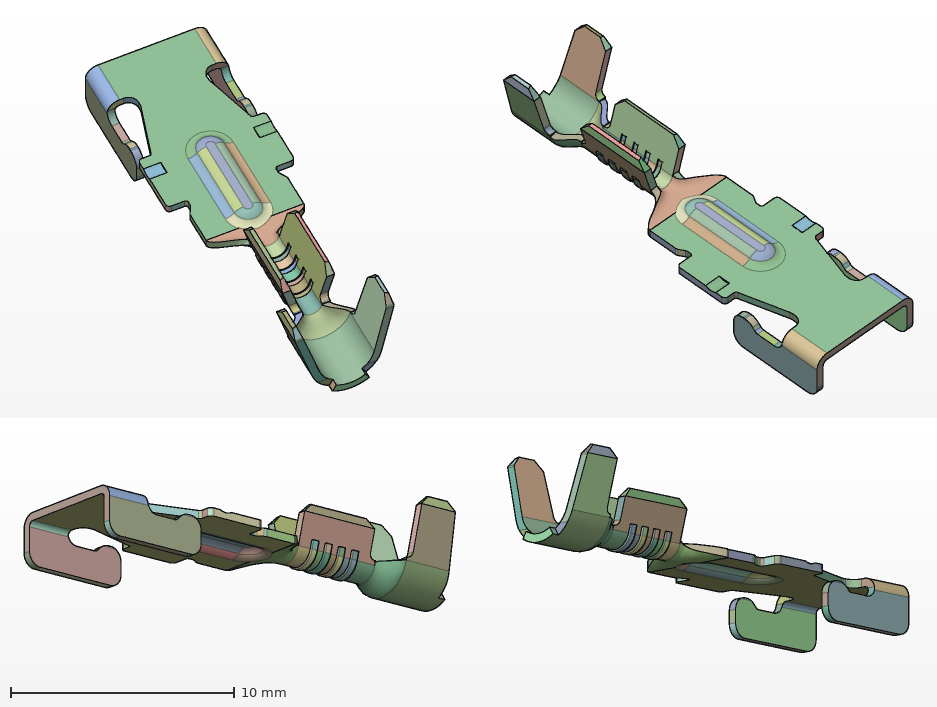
import cadquery as cq
import math


SHEET = 0.39
TOTAL_LENGTH = 21.08

CHANNEL_WIDTH = 6.07
CHANNEL_LENGTH = 2.23
LEG_LENGTH = 5.29
LEG_BOTTOM = -2.41
LEG_CORNER = 0.62
FOLD_RADIUS = 0.63
SLOT_FLOOR = -0.97
SLOT_REAR = 3.87
SLOT_CORNER = 0.5
HOOK_TOP = -0.56
HOOK_CROWN = 0.7
HOOK_FOOT = 0.25

PLATE_END = 11.2
PLATE_HALF_WIDTH = 2.43
WAIST_HALF_WIDTH = 1.7
WAIST_END = 2.95
WAIST_ROUNDING = 0.6
SHOULDER_FRONT = 5.7
SHOULDER_REAR = 8.74
SHOULDER_HALF_WIDTH = 6.35 / 2
SHOULDER_CORNER = 0.2
SHOULDER_ROOT_ROUNDING = 0.15
TAPER_HALF_WIDTH = 2.5
NECK_HALF_WIDTH = 2.19
NECK_END = 9.1
NECK_ROUNDING = 0.12
NECK_RAMP_END = 9.5
NECK_RAMP_ROUNDING = 0.25

COIN_CENTER = 6.6
COIN_WIDTH = 0.65
COIN_DEPTH = 0.08
COIN_INNER = 2.31

BEAD_FRONT = 6.63
BEAD_REAR = 10.46
BEAD_HEIGHT = 0.38
BEAD_FLAT_HALF = 0.22
BEAD_HALF_WIDTH = 1.12

ARM_TILT = math.radians(16)
TIP_BEVEL = 0.19
TIP_INSET = 0.48

WIRE_FRONT = 12.68
WIRE_REAR = 16.73
WIRE_RADIUS = 0.89
WIRE_BOTTOM = -SHEET
WIRE_TOP = 2.26
WIRE_STUB = 0.35
WIRE_STUB_TOP = 0.46
WIRE_TIP_LENGTH = 0.38

GRIP_FRONT = 18.5
GRIP_REAR = 20.72
GRIP_RADIUS = 1.8
GRIP_BOTTOM = -0.79
GRIP_TOP = 3.56
GRIP_STUB = 0.3
GRIP_STUB_TOP = 0.66
GRIP_TIP_LENGTH = 0.41
GRIP_TOP_REAR = 20.44
GRIP_SHOULDER_ROUNDING = 0.15
STUB_FILLET = 0.28

TAIL_HALF_WIDTH = 0.92
TAIL_OVERLAP = 1.0

SERRATION_COUNT = 4
SERRATION_PITCH = 0.764
SERRATION_FIRST = 13.56
SERRATION_DEPTH = 0.07
GROOVE_WIDTH = 0.27
RIDGE_WIDTH = 0.4
RIDGE_ROUNDING = 0.06
SERRATION_TOP = 0.7

FLARE_STEPS = 8
FLARE_START_RISE = 0.01
FRONT_FLARE_WIDTH_SHARE = 0.88
FRONT_FLARE_RISE_POWER = 1.5
WIRE_WRAP = math.radians(84)
GRIP_WRAP = math.radians(75)


def rounded_outline(plane, corners):
    """Closed outline through (u, v, radius) corners, each rounded by its radius."""
    stretches = []
    for i, (u, v, radius) in enumerate(corners):
        if radius == 0:
            stretches.append([(u, v)])
            continue
        corner = cq.Vector(u, v)
        to_last = (cq.Vector(*corners[i - 1][:2]) - corner).normalized()
        to_next = (cq.Vector(*corners[(i + 1) % len(corners)][:2]) - corner).normalized()
        half_angle = to_last.getAngle(to_next) / 2
        setback = radius / math.tan(half_angle)
        middle_reach = radius / math.sin(half_angle) - radius
        start = corner + to_last * setback
        middle = corner + (to_last + to_next).normalized() * middle_reach
        end = corner + to_next * setback
        stretches.append([(p.x, p.y) for p in (start, middle, end)])
    outline = cq.Workplane(plane).moveTo(*stretches[0][-1])
    for stretch in stretches[1:] + stretches[:1]:
        outline = outline.lineTo(*stretch[0])
        if len(stretch) > 1:
            outline = outline.threePointArc(*stretch[1:])
    return outline.close()


def side_prism(corners):
    """Prism across the full width of the part from an outline in X and Z."""
    return rounded_outline("XZ", corners).extrude(SHOULDER_HALF_WIDTH, both=True)


def make_channel():
    half = CHANNEL_WIDTH / 2
    depth = -LEG_BOTTOM
    outer = cq.Workplane("YZ").rect(2 * half, 2 * depth).extrude(LEG_LENGTH)
    outer = outer.edges("|X").fillet(FOLD_RADIUS)
    inner_half = half - SHEET
    inner = cq.Workplane("YZ").rect(2 * inner_half, 2 * depth).extrude(LEG_LENGTH)
    inner = inner.edges("|X").fillet(FOLD_RADIUS - SHEET)
    outer = outer.translate((0, 0, -depth))
    inner = inner.translate((0, 0, -depth - SHEET))
    hook_rise = HOOK_TOP - SLOT_FLOOR
    side = side_prism([
        (0, 0, 0),
        (CHANNEL_LENGTH, 0, 0),
        (CHANNEL_LENGTH, SLOT_FLOOR, SLOT_CORNER),
        (SLOT_REAR, SLOT_FLOOR, HOOK_FOOT),
        (SLOT_REAR + hook_rise, HOOK_TOP, HOOK_CROWN),
        (LEG_LENGTH, HOOK_TOP, LEG_CORNER),
        (LEG_LENGTH, LEG_BOTTOM, LEG_CORNER),
        (0, LEG_BOTTOM, LEG_CORNER),
    ])
    return outer.cut(inner).intersect(side)


def make_plate():
    root = CHANNEL_LENGTH / 2
    root_half = CHANNEL_WIDTH / 2 - FOLD_RADIUS
    half = [
        (root, root_half, 0),
        (CHANNEL_LENGTH, root_half, 0),
        (CHANNEL_LENGTH, WAIST_HALF_WIDTH, SLOT_CORNER),
        (WAIST_END, WAIST_HALF_WIDTH, WAIST_ROUNDING),
        (SHOULDER_FRONT, TAPER_HALF_WIDTH, SHOULDER_ROOT_ROUNDING),
        (SHOULDER_FRONT, SHOULDER_HALF_WIDTH, SHOULDER_CORNER),
        (SHOULDER_REAR, SHOULDER_HALF_WIDTH, SHOULDER_CORNER),
        (SHOULDER_REAR, NECK_HALF_WIDTH, NECK_ROUNDING),
        (NECK_END, NECK_HALF_WIDTH, NECK_RAMP_ROUNDING),
        (NECK_RAMP_END, PLATE_HALF_WIDTH, NECK_RAMP_ROUNDING),
        (PLATE_END, PLATE_HALF_WIDTH, 0),
    ]
    mirrored = [(x, -y, radius) for x, y, radius in reversed(half)]
    plate = rounded_outline("XY", half + mirrored).extrude(-SHEET)
    for side in (1, -1):
        plate = plate.cut(make_coin_groove(side))
    return plate


def make_coin_groove(side):
    half = COIN_WIDTH / 2
    radius = (half ** 2 + COIN_DEPTH ** 2) / (2 * COIN_DEPTH)
    axis_height = radius - COIN_DEPTH
    groove = cq.Workplane("XZ").center(COIN_CENTER, axis_height).circle(radius)
    groove = groove.extrude(-(SHOULDER_HALF_WIDTH - COIN_INNER))
    groove = groove.translate((0, COIN_INNER, 0))
    if side < 0:
        groove = groove.mirror("XZ")
    return groove


def bead_half_section(base):
    """Half of the bead's section, with its smooth S-shaped flank, on the height `base`."""
    run = (BEAD_HALF_WIDTH - BEAD_FLAT_HALF) / 2
    rise = BEAD_HEIGHT / 2
    flank_radius = (run ** 2 + rise ** 2) / (2 * rise)
    sweep = math.asin(run / flank_radius) / 2
    arc_run = flank_radius * math.sin(sweep)
    arc_drop = flank_radius * (1 - math.cos(sweep))
    crest = base + BEAD_HEIGHT
    middle = (BEAD_FLAT_HALF + run, base + rise)
    return (
        cq.Workplane("YZ")
        .moveTo(0, base)
        .lineTo(0, crest)
        .lineTo(BEAD_FLAT_HALF, crest)
        .threePointArc((BEAD_FLAT_HALF + arc_run, crest - arc_drop), middle)
        .threePointArc((BEAD_HALF_WIDTH - arc_run, base + arc_drop), (BEAD_HALF_WIDTH, base))
        .close()
    )


def bead_body(base):
    """Solid bead with revolved ends, standing on the height `base`."""
    straight = bead_half_section(base).extrude(BEAD_REAR - BEAD_FRONT).translate((BEAD_FRONT, 0, 0))
    straight = straight.union(straight.mirror("XZ"))
    dome = bead_half_section(base).revolve(360, (0, 0, 0), (0, 1, 0))
    front = dome.translate((BEAD_FRONT, 0, 0))
    rear = dome.translate((BEAD_REAR, 0, 0))
    return straight.union(front).union(rear)


def trough(x, half_width, rise, bottom):
    """Curved strip of sheet across the part, its outer edges lifted by `rise`."""
    outer = (half_width ** 2 + rise ** 2) / (2 * rise)
    inner = outer - SHEET
    center = bottom + outer
    angle = 2 * math.atan2(rise, half_width)
    edge_y = math.sin(angle)
    edge_z = math.cos(angle)
    return (
        cq.Workplane("YZ", origin=(x, 0, 0))
        .moveTo(-outer * edge_y, center - outer * edge_z)
        .threePointArc((0, bottom), (outer * edge_y, center - outer * edge_z))
        .lineTo(inner * edge_y, center - inner * edge_z)
        .threePointArc((0, bottom + SHEET), (-inner * edge_y, center - inner * edge_z))
        .close()
    )


def wrapped_end(radius, wrap, bottom):
    """Trough dimensions where the sheet follows a barrel up to the angle `wrap`."""
    return (radius * math.sin(wrap), radius * (1 - math.cos(wrap)), bottom)


def make_flare(x_start, x_end, start, end, width_share=1, rise_power=1):
    """Change between two troughs given as (half width, rise, bottom).

    Width and bottom change smoothly within the first `width_share` of the length.
    A `rise_power` of 1 lifts the edges evenly, a larger one lifts them later.
    """
    wires = []
    for step in range(FLARE_STEPS + 1):
        share = step / FLARE_STEPS
        blend = (1 - math.cos(math.pi * min(1, share / width_share))) / 2
        half_width = start[0] + (end[0] - start[0]) * blend
        rise = start[1] + (end[1] - start[1]) * share ** rise_power
        bottom = start[2] + (end[2] - start[2]) * blend
        x = x_start + (x_end - x_start) * share
        wires.append(trough(x, half_width, rise, bottom).val())
    return cq.Workplane(cq.Solid.makeLoft(wires))


def barrel_profile(x, inner, outer, center, top, tip_length=0, bevel=0):
    """U-shaped section with outward leaning arms, their tips optionally bevelled outside."""
    lean = math.sin(ARM_TILT)
    upright = math.cos(ARM_TILT)
    arm_length = (top - center + lean * inner) / upright

    def place(radius, along):
        return (radius * upright + along * lean, center - radius * lean + along * upright)

    right = [place(outer, 0), place(outer - bevel, arm_length)]
    right += [place(inner, arm_length), place(inner, 0)]
    if bevel > 0:
        right.insert(1, place(outer, arm_length - tip_length))
    left = [(-y, z) for y, z in reversed(right)]
    profile = cq.Workplane("YZ", origin=(x, 0, 0)).moveTo(*right[0])
    for point in right[1:]:
        profile = profile.lineTo(*point)
    profile = profile.threePointArc((0, center - inner), left[0])
    for point in left[1:]:
        profile = profile.lineTo(*point)
    return profile.threePointArc((0, center - outer), right[0]).close()


def make_wire_barrel():
    end = WIRE_REAR + WIRE_STUB
    shoulder = WIRE_TOP - TIP_INSET
    body = barrel_profile(
        WIRE_FRONT, WIRE_RADIUS - SHEET, WIRE_RADIUS, WIRE_BOTTOM + WIRE_RADIUS,
        WIRE_TOP, WIRE_TIP_LENGTH, TIP_BEVEL,
    ).extrude(end - WIRE_FRONT)
    side = side_prism([
        (WIRE_FRONT, WIRE_BOTTOM, 0),
        (WIRE_FRONT, shoulder, 0),
        (WIRE_FRONT + TIP_INSET, WIRE_TOP, 0),
        (WIRE_REAR - TIP_INSET, WIRE_TOP, 0),
        (WIRE_REAR, shoulder, 0),
        (WIRE_REAR, WIRE_STUB_TOP, STUB_FILLET),
        (end, WIRE_STUB_TOP, 0),
        (end, WIRE_BOTTOM, 0),
    ])
    return add_serrations(body.intersect(side))


def add_serrations(barrel):
    """Press grooves into the inside of the wire barrel, raising ridges outside."""
    inner = WIRE_RADIUS - SHEET
    center = WIRE_BOTTOM + WIRE_RADIUS
    for i in range(SERRATION_COUNT):
        x = SERRATION_FIRST + i * SERRATION_PITCH
        ridge = barrel_profile(
            x - RIDGE_WIDTH / 2, WIRE_RADIUS - 2 * SERRATION_DEPTH, WIRE_RADIUS + SERRATION_DEPTH,
            center, SERRATION_TOP,
        ).extrude(RIDGE_WIDTH)
        ridge = ridge.faces("<X or >X").edges().fillet(RIDGE_ROUNDING)
        groove = barrel_profile(
            x - GROOVE_WIDTH / 2, inner - SERRATION_DEPTH, inner + SERRATION_DEPTH,
            center, SERRATION_TOP,
        ).extrude(GROOVE_WIDTH)
        barrel = barrel.union(ridge).cut(groove)
    return barrel


def make_insulation_grip():
    start = GRIP_FRONT - GRIP_STUB
    shoulder = GRIP_TOP - TIP_INSET
    body = barrel_profile(
        start, GRIP_RADIUS - SHEET, GRIP_RADIUS, GRIP_BOTTOM + GRIP_RADIUS,
        GRIP_TOP, GRIP_TIP_LENGTH, TIP_BEVEL,
    ).extrude(GRIP_REAR - start)
    side = side_prism([
        (start, GRIP_BOTTOM, 0),
        (start, GRIP_STUB_TOP, 0),
        (GRIP_FRONT, GRIP_STUB_TOP, STUB_FILLET),
        (GRIP_FRONT, shoulder, 0),
        (GRIP_FRONT + TIP_INSET, GRIP_TOP, 0),
        (GRIP_TOP_REAR - TIP_INSET, GRIP_TOP, 0),
        (GRIP_TOP_REAR, shoulder, GRIP_SHOULDER_ROUNDING),
        (GRIP_REAR, 0, 0),
        (GRIP_REAR, GRIP_BOTTOM, 0),
    ])
    return body.intersect(side)


def make_tail():
    rise = GRIP_RADIUS - math.sqrt(GRIP_RADIUS ** 2 - TAIL_HALF_WIDTH ** 2)
    section = trough(TOTAL_LENGTH - TAIL_OVERLAP, TAIL_HALF_WIDTH, rise, GRIP_BOTTOM)
    return section.extrude(TAIL_OVERLAP)


def make_terminal():
    flat_end = (PLATE_HALF_WIDTH, FLARE_START_RISE, -SHEET)
    wire_end = wrapped_end(WIRE_RADIUS, WIRE_WRAP, WIRE_BOTTOM)
    grip_end = wrapped_end(GRIP_RADIUS, GRIP_WRAP, GRIP_BOTTOM)
    front_flare = make_flare(
        PLATE_END, WIRE_FRONT, flat_end, wire_end,
        FRONT_FLARE_WIDTH_SHARE, FRONT_FLARE_RISE_POWER,
    )
    rear_flare = make_flare(WIRE_REAR + WIRE_STUB, GRIP_FRONT - GRIP_STUB, wire_end, grip_end)
    terminal = make_channel().union(make_plate()).union(front_flare)
    terminal = terminal.union(bead_body(0)).cut(bead_body(-SHEET))
    for piece in (make_wire_barrel(), rear_flare, make_insulation_grip(), make_tail()):
        terminal = terminal.union(piece)
    return terminal


result = make_terminal()